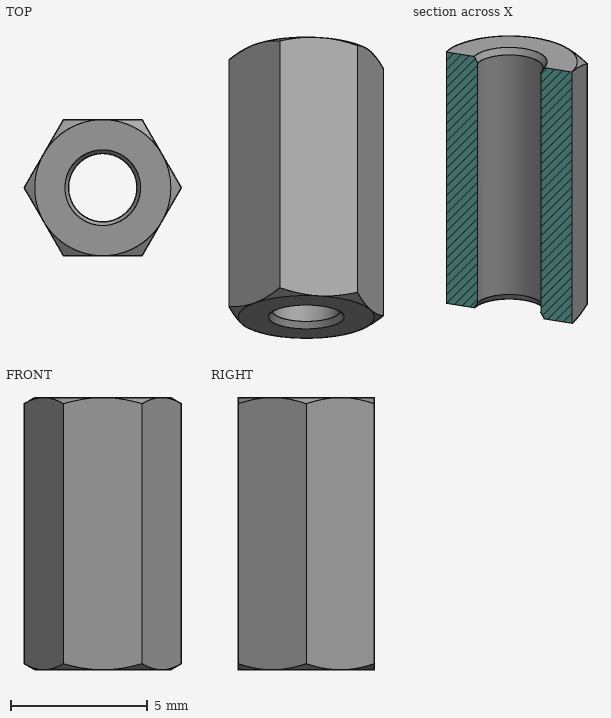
import cadquery as cq
import math

length = 10.0
across_flats = 5.006
side_count = 6
across_corners = across_flats / math.cos(math.pi / side_count)
face_diameter = 5.0
corner_chamfer_angle = 30.0

bore_diameter = 2.5
countersink_diameter = 2.78
countersink_angle = 60.0


def revolve_profile(points):
    """Revolve a closed (radius, height) outline about the Z axis."""
    return cq.Workplane("XZ").polyline(points).close().revolve(360, (0, 0, 0), (0, 1, 0))


def hex_body():
    """Hexagonal prism with two corners on the X axis."""
    return cq.Workplane("XY").polygon(side_count, across_corners).extrude(length)


def corner_chamfer_envelope():
    """Round blank with coned ends; its overlap with the prism chamfers the corners."""
    face_radius = face_diameter / 2
    outer_radius = across_corners / 2
    drop = (outer_radius - face_radius) * math.tan(math.radians(corner_chamfer_angle))
    return revolve_profile([
        (0, 0),
        (face_radius, 0),
        (outer_radius, drop),
        (outer_radius, length - drop),
        (face_radius, length),
        (0, length),
    ])


def bore_cutter():
    """Through bore with a countersink at each end."""
    bore_radius = bore_diameter / 2
    sink_radius = countersink_diameter / 2
    depth = (sink_radius - bore_radius) * math.tan(math.radians(countersink_angle))
    return revolve_profile([
        (0, 0),
        (sink_radius, 0),
        (bore_radius, depth),
        (bore_radius, length - depth),
        (sink_radius, length),
        (0, length),
    ])


result = hex_body().intersect(corner_chamfer_envelope()).cut(bore_cutter())